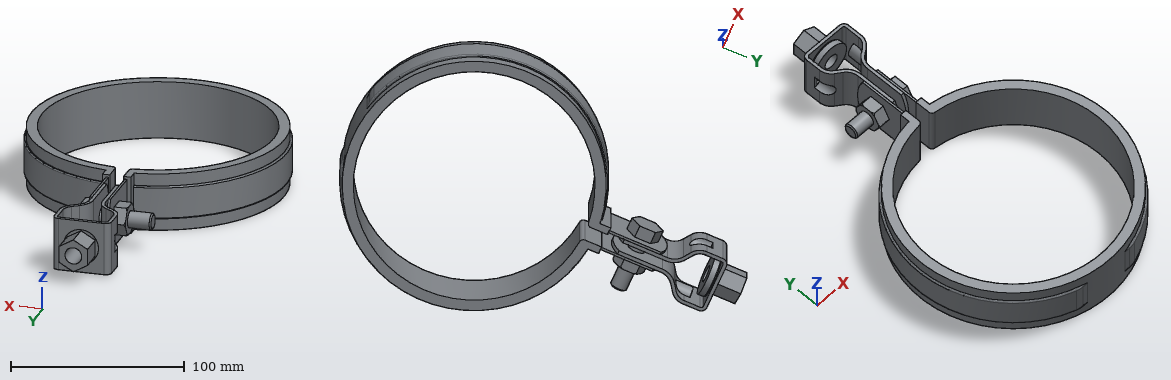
import cadquery as cq
import math

OVERALL_LENGTH = 244.0

RING_OUTER_R = 152.0 / 2
RING_INNER_R = 69.5
RING_WIDTH = 35.0
SPLIT_HALF_GAP = 4.1
COLLAR_THICKNESS = 4.5
COLLAR_TOP_Y = 82.2
SPLIT_EDGE_RADIUS = 2.5
STRAP_THICKNESS = 1.5
STRAP_WIDTH = 31.7
STRAP_TOP_Y = 118.8
END_BULGE = 4.0

BEAD_OUTER_R = 155.0 / 2
BEAD_ROOT_R = 73.2
BEAD_WIDTH = 20.0
BEAD_FLAT_Y = -74.5
BEAD_END_BLEND = 15.5
BEAD_EDGE_RADIUS = 0.7

SHEET = 2.2
BRACKET_HALF_WIDTH = 17.3
BRACKET_TOP_Y = 152.8
LEG_OUTER_X = 5.0
LEG_END_Y = 88.5
CORNER_R = 3.7
BEND_R = 10.0
BEND_ANGLE = math.radians(55)
SHOULDER_Y = 138.8

DENT_GROOVE_R = 10.0 / 2
DENT_OUTER_R = 13.0 / 2
DENT_TOP_Y = 142.7
DENT_LENGTH = 14.6

BOLT_D = 10.0
BOLT_Y = 103.2
BOLT_TIP_X = -28.3
BOLT_TIP_CHAMFER = 0.85
HEX_ACROSS_FLATS = 17.0
BOLT_HEAD_THICKNESS = 7.3
BOLT_NUT_THICKNESS = 8.0
BOLT_NUT_FACE_D = 18.0

HANGER_TOP_Y = OVERALL_LENGTH - RING_OUTER_R
HANGER_COLLAR_D = 21.0
HANGER_FLANGE_D = 25.5
HANGER_FLANGE_SEAT_D = 25.0
HANGER_FLANGE_THICKNESS = 4.5
HANGER_FLANGE_BEVEL = 0.7
HANGER_BORE_D = 10.0

HEX_ACROSS_CORNERS = HEX_ACROSS_FLATS * 2 / math.sqrt(3)
STRAP_INNER_X = LEG_OUTER_X
STRAP_OUTER_X = STRAP_INNER_X + STRAP_THICKNESS


def box(x_min, x_max, y_min, y_max, width):
    """Block between the given X and Y limits, centred on Z = 0."""
    return (
        cq.Workplane("XY")
        .box(x_max - x_min, y_max - y_min, width)
        .translate(((x_min + x_max) / 2, (y_min + y_max) / 2, 0))
    )


def cylinder_x(radius, x_min, x_max, y):
    """Cylinder along X at height Y."""
    return cq.Workplane("YZ", origin=(x_min, y, 0)).circle(radius).extrude(x_max - x_min)


def cylinder_y(radius, y_min, y_max, x=0):
    """Cylinder along Y at the given X."""
    return cq.Workplane("XZ", origin=(x, y_max, 0)).circle(radius).extrude(y_max - y_min)


def disc(radius, width):
    return cq.Workplane("XY").circle(radius).extrude(width / 2, both=True)


def mirrored_pair(body):
    return body.union(body.mirror("YZ"))


def arched_plate(x_min, x_max, y_root, y_tip, width):
    """Plate across X whose end at y_tip is arched towards the tip."""
    y_corner = y_tip - math.copysign(END_BULGE, y_tip - y_root)
    return (
        cq.Workplane("YZ", origin=(x_min, 0, 0))
        .moveTo(y_root, -width / 2)
        .lineTo(y_corner, -width / 2)
        .threePointArc((y_tip, 0), (y_corner, width / 2))
        .lineTo(y_root, width / 2)
        .close()
        .extrude(x_max - x_min)
    )


def make_bead():
    """Raised rib with rounded edges, ending on both sides of a flat at the bottom."""
    bead = disc(BEAD_OUTER_R, BEAD_WIDTH)
    below_flat = box(-BEAD_OUTER_R, BEAD_OUTER_R, -2 * BEAD_OUTER_R, BEAD_FLAT_Y, RING_WIDTH)
    bead = bead.cut(below_flat)
    flat_half_length = math.sqrt(BEAD_OUTER_R**2 - BEAD_FLAT_Y**2)
    for side in (-1, 1):
        corner = cq.selectors.NearestToPointSelector((side * flat_half_length, BEAD_FLAT_Y, 0))
        bead = bead.edges("|Z").edges(corner).fillet(BEAD_END_BLEND)
    bead = bead.faces(">Z or <Z").edges().fillet(BEAD_EDGE_RADIUS)
    return bead.cut(disc(BEAD_ROOT_R, RING_WIDTH))


def make_clamp():
    ring = disc(RING_OUTER_R, RING_WIDTH)
    collar_outer_x = SPLIT_HALF_GAP + COLLAR_THICKNESS
    ring = ring.union(box(-collar_outer_x, collar_outer_x, RING_INNER_R, COLLAR_TOP_Y, RING_WIDTH))
    ring = ring.union(make_bead())
    ring = ring.cut(disc(RING_INNER_R, RING_WIDTH))
    ring = ring.cut(box(-SPLIT_HALF_GAP, SPLIT_HALF_GAP, 0, COLLAR_TOP_Y, RING_WIDTH))
    bore_y = math.sqrt(RING_INNER_R**2 - SPLIT_HALF_GAP**2)
    for side in (-1, 1):
        split_edge = cq.selectors.NearestToPointSelector((side * SPLIT_HALF_GAP, bore_y, 0))
        ring = ring.edges("|Z").edges(split_edge).fillet(SPLIT_EDGE_RADIUS)
    strap = arched_plate(STRAP_INNER_X, STRAP_OUTER_X, COLLAR_TOP_Y, STRAP_TOP_Y, STRAP_WIDTH)
    clamp = ring.union(mirrored_pair(strap))
    return clamp.cut(cylinder_x(BOLT_D / 2, -STRAP_OUTER_X, STRAP_OUTER_X, BOLT_Y))


def bracket_outline(inset):
    """Filled bracket contour, moved inwards by inset, as a block of the strap's width."""
    convex_r = BEND_R - inset
    concave_r = BEND_R + inset
    half_width = BRACKET_HALF_WIDTH - inset
    leg_x = LEG_OUTER_X - inset
    top_y = BRACKET_TOP_Y - inset
    corner_r = CORNER_R - inset
    corner_mid = corner_r * (1 - math.sqrt(0.5))

    slope_x = BRACKET_HALF_WIDTH - LEG_OUTER_X - 2 * BEND_R * (1 - math.cos(BEND_ANGLE))
    slope_y = slope_x / math.tan(BEND_ANGLE)
    neck_y = SHOULDER_Y - 2 * BEND_R * math.sin(BEND_ANGLE) - slope_y

    def convex_point(angle):
        x = BRACKET_HALF_WIDTH - BEND_R + convex_r * math.cos(angle)
        return (x, SHOULDER_Y - convex_r * math.sin(angle))

    def concave_point(angle):
        x = LEG_OUTER_X + BEND_R - concave_r * math.cos(angle)
        return (x, neck_y + concave_r * math.sin(angle))

    half = (
        cq.Workplane("XY")
        .moveTo(0, LEG_END_Y)
        .lineTo(leg_x, LEG_END_Y)
        .lineTo(leg_x, neck_y)
        .threePointArc(concave_point(BEND_ANGLE / 2), concave_point(BEND_ANGLE))
        .lineTo(*convex_point(BEND_ANGLE))
        .threePointArc(convex_point(BEND_ANGLE / 2), (half_width, SHOULDER_Y))
        .lineTo(half_width, top_y - corner_r)
        .threePointArc((half_width - corner_mid, top_y - corner_mid), (half_width - corner_r, top_y))
        .lineTo(0, top_y)
        .close()
        .extrude(STRAP_WIDTH / 2, both=True)
    )
    return mirrored_pair(half)


def make_bracket():
    envelope = bracket_outline(0)
    bracket = envelope.cut(bracket_outline(SHEET))

    dent_end_y = DENT_TOP_Y - DENT_LENGTH
    for side in (-1, 1):
        wall_x = side * BRACKET_HALF_WIDTH
        dent = cylinder_y(DENT_OUTER_R, dent_end_y, DENT_TOP_Y, wall_x).intersect(envelope)
        bracket = bracket.union(dent)
        bracket = bracket.cut(cylinder_y(DENT_GROOVE_R, dent_end_y, DENT_TOP_Y, wall_x))

    half_width = BRACKET_HALF_WIDTH
    arched_end = arched_plate(-half_width, half_width, BRACKET_TOP_Y, LEG_END_Y, STRAP_WIDTH)
    bracket = bracket.intersect(arched_end)
    bracket = bracket.cut(cylinder_x(BOLT_D / 2, -LEG_OUTER_X, LEG_OUTER_X, BOLT_Y))
    return bracket.cut(cylinder_y(HANGER_COLLAR_D / 2, BRACKET_TOP_Y - SHEET, BRACKET_TOP_Y))


def hexagon_x(x_min, x_max):
    """Hexagonal prism on the bolt's axis, with two corners along Y."""
    return (
        cq.Workplane("YZ", origin=(x_min, BOLT_Y, 0))
        .polygon(6, HEX_ACROSS_CORNERS)
        .extrude(x_max - x_min)
    )


def make_bolt():
    """Bolt and its nut."""
    head_end_x = STRAP_OUTER_X + BOLT_HEAD_THICKNESS
    nut_end_x = -STRAP_OUTER_X - BOLT_NUT_THICKNESS
    shank = cylinder_x(BOLT_D / 2, BOLT_TIP_X, head_end_x, BOLT_Y).faces("<X").chamfer(BOLT_TIP_CHAMFER)
    corner_chamfer = (HEX_ACROSS_CORNERS - BOLT_NUT_FACE_D) / 2
    nut_blank = cylinder_x(HEX_ACROSS_CORNERS / 2, nut_end_x, -STRAP_OUTER_X, BOLT_Y)
    nut = hexagon_x(nut_end_x, -STRAP_OUTER_X).intersect(nut_blank.faces("<X").chamfer(corner_chamfer))
    return shank.union(hexagon_x(STRAP_OUTER_X, head_end_x)).union(nut)


def make_hanger_nut():
    seat_y = BRACKET_TOP_Y - SHEET
    flange_end_y = seat_y - HANGER_FLANGE_THICKNESS
    head = (
        cq.Workplane("XZ", origin=(0, HANGER_TOP_Y, 0))
        .transformed(rotate=(0, 0, 90))
        .polygon(6, HEX_ACROSS_CORNERS)
        .extrude(HANGER_TOP_Y - BRACKET_TOP_Y)
    )
    collar = cylinder_y(HANGER_COLLAR_D / 2, seat_y, BRACKET_TOP_Y)
    flange = (
        cq.Workplane("XY")
        .moveTo(0, flange_end_y)
        .lineTo(HANGER_FLANGE_D / 2, flange_end_y)
        .lineTo(HANGER_FLANGE_D / 2, seat_y - HANGER_FLANGE_BEVEL)
        .lineTo(HANGER_FLANGE_SEAT_D / 2, seat_y)
        .lineTo(0, seat_y)
        .close()
        .revolve(360, (0, 0, 0), (0, 1, 0))
    )
    return head.union(collar).union(flange).cut(cylinder_y(HANGER_BORE_D / 2, flange_end_y, HANGER_TOP_Y))


clamp = make_clamp()
bracket = make_bracket()
bolt = make_bolt()
hanger_nut = make_hanger_nut()

result = cq.Compound.makeCompound([clamp.val(), bracket.val(), bolt.val(), hanger_nut.val()])